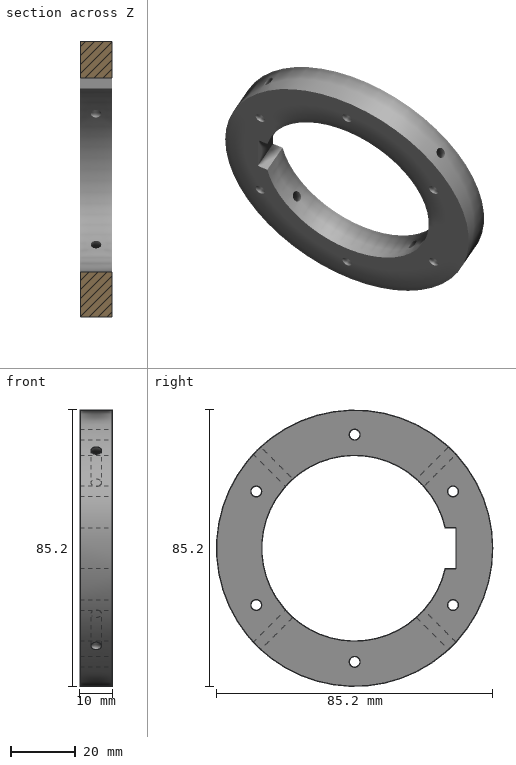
import cadquery as cq

outer_diameter = 85.2
bore_diameter = 57.2
thickness = 10.0

bolt_circle_diameter = 70.0
bolt_hole_diameter = 3.2
bolt_hole_count = 6

radial_hole_diameter = 3.2
radial_hole_count = 4
first_radial_angle = 45.0

keyway_width = 12.6
keyway_floor_radius = 31.2


def make_ring():
    return (
        cq.Workplane("YZ")
        .circle(outer_diameter / 2)
        .circle(bore_diameter / 2)
        .extrude(thickness / 2, both=True)
    )


def make_keyway():
    return cq.Workplane("XY").box(
        thickness, keyway_floor_radius, keyway_width, centered=(True, False, True)
    )


def make_bolt_holes():
    return (
        cq.Workplane("YZ")
        .polarArray(bolt_circle_diameter / 2, 90, 360, bolt_hole_count)
        .circle(bolt_hole_diameter / 2)
        .extrude(thickness / 2, both=True)
    )


def make_radial_hole(angle):
    hole = cq.Workplane("XZ").circle(radial_hole_diameter / 2).extrude(-outer_diameter / 2)
    return hole.rotate((0, 0, 0), (1, 0, 0), angle)


result = make_ring().cut(make_keyway()).cut(make_bolt_holes())
for index in range(radial_hole_count):
    radial_angle = first_radial_angle + index * 360 / radial_hole_count
    result = result.cut(make_radial_hole(radial_angle))